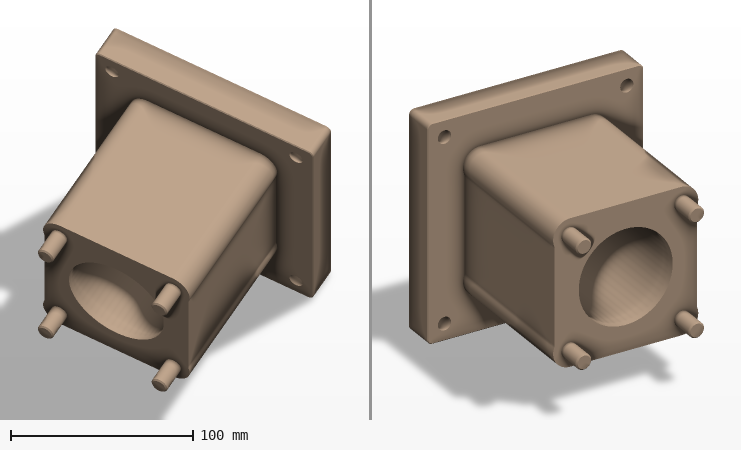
import cadquery as cq
import math

plate_side = 138.0
plate_thickness = 20.0
plate_corner_radius = 3.3
plate_edge_chamfer = 0.5
plate_hole_diameter = 8.4
plate_hole_pitch = 116.5

body_length = 97.0
body_half_width = 46.4
body_side_relief = 0.8
corner_radius = 10.9
relief_radius = 5.0
bore_diameter = 60.0

pin_diameter = 10.0
pin_length = 16.0
pin_pitch = 72.0
pin_tip_chamfer = 0.8

body_end_y = -(plate_thickness + body_length)


def plane_at(y):
    """XZ plane at the given Y; extrusions run toward -Y."""
    return cq.Workplane("XZ", origin=(0, y, 0))


def make_plate():
    plate = plane_at(0).rect(plate_side, plate_side).extrude(plate_thickness)
    plate = plate.edges("|Y").fillet(plate_corner_radius)
    plate = plate.faces("<Y").edges().chamfer(plate_edge_chamfer)
    holes = (
        plane_at(0)
        .rect(plate_hole_pitch, plate_hole_pitch, forConstruction=True)
        .vertices()
        .circle(plate_hole_diameter / 2)
        .extrude(plate_thickness)
    )
    return plate.cut(holes)


def make_body():
    """Rounded square whose two X sides are set back between the corner lobes."""
    lobe_center = body_half_width - corner_radius
    side_x = body_half_width - body_side_relief

    relief_center_x = side_x + relief_radius
    center_distance = corner_radius + relief_radius
    dx = relief_center_x - lobe_center
    dz = math.sqrt(center_distance**2 - dx**2)
    relief_center_z = lobe_center - dz
    lobe_share = corner_radius / center_distance
    contact = (lobe_center + dx * lobe_share, lobe_center - dz * lobe_share)

    lobe_mid_angle = (math.pi / 2 - math.atan2(dz, dx)) / 2
    lobe_mid = (
        lobe_center + corner_radius * math.cos(lobe_mid_angle),
        lobe_center + corner_radius * math.sin(lobe_mid_angle),
    )
    relief_mid_angle = math.atan2(dz, dx) / 2
    relief_mid = (
        relief_center_x - relief_radius * math.cos(relief_mid_angle),
        relief_center_z + relief_radius * math.sin(relief_mid_angle),
    )

    quarter = (
        plane_at(-plate_thickness)
        .lineTo(0, body_half_width)
        .lineTo(lobe_center, body_half_width)
        .threePointArc(lobe_mid, contact)
        .threePointArc(relief_mid, (side_x, relief_center_z))
        .lineTo(side_x, 0)
        .close()
        .extrude(body_length)
    )
    half = quarter.union(quarter.mirror("XY"))
    return half.union(half.mirror("YZ")).clean()


def make_pins():
    pins = (
        plane_at(body_end_y)
        .rect(pin_pitch, pin_pitch, forConstruction=True)
        .vertices()
        .circle(pin_diameter / 2)
        .extrude(pin_length)
    )
    return pins.faces("<Y").edges().chamfer(pin_tip_chamfer)


bore = plane_at(0).circle(bore_diameter / 2).extrude(-body_end_y)

result = make_plate().union(make_body()).cut(bore).union(make_pins())